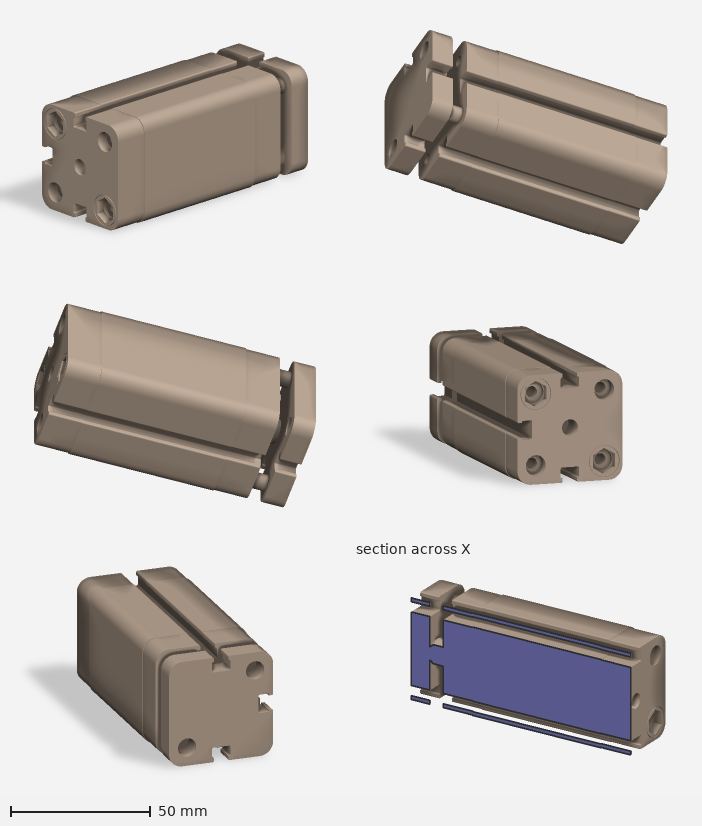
import cadquery as cq
import math


TOTAL_LENGTH = 93.0
PLATE_LENGTH = 8.0
GAP_LENGTH = 5.5
COVER_LENGTH = 12.7
BODY_LENGTH = TOTAL_LENGTH - PLATE_LENGTH - GAP_LENGTH
TUBE_LENGTH = BODY_LENGTH - 2 * COVER_LENGTH
PLATE_START = BODY_LENGTH + GAP_LENGTH

COVER_WIDTH = 39.8
COVER_CORNER_RADIUS = 5.1
TUBE_WIDTH = 40.1
TUBE_CORNER_RADIUS = 4.8

SLOT_OPENING = 5.5
SLOT_WIDTH = 7.0
SLOT_LIP = 1.6
SLOT_DEPTH = 5.55
SLOT_FILLET = 0.5
SLOT_MOUTH_RADIUS = 0.5
SLOT_ANGLES = (0, 90, 180)

ROD_DIAMETER = 10.0
ROD_TIP_DIAMETER = 8.5
ROD_TAPER_ANGLE = 30.0
ROD_FLAT_WIDTH = 8.0
ROD_FLAT_LENGTH = 3.6

PIN_DIAMETER = 6.0
PIN_OFFSET = 13.5
PIN_CORNERS = ((1, 1), (-1, -1))

SCREW_OFFSET = 13.0
SCREW_CORNERS = ((-1, 1), (1, -1))
SCREW_SEAT_DIAMETER = 11.7
SCREW_HEAD_DIAMETER = 11.1
SCREW_GROOVE_DEPTH = 0.5
HEX_ACROSS_FLATS = 8.3
HEX_DEPTH = 3.0
SOCKET_DIAMETER = 8.0
SOCKET_DEPTH = 4.5
SCREW_BORE_DIAMETER = 4.13
PLATE_HOLE_DIAMETER = 7.0

GUIDE_HOLE_DIAMETER = 7.5
GUIDE_HOLE_DEPTH = 4.5
GUIDE_BORE_DIAMETER = 4.13
GUIDE_BORE_DEPTH = 20.0
CENTRE_HOLE_DIAMETER = 6.0
CENTRE_HOLE_DEPTH = 10.0


def plane_at(y):
    """XZ workplane at the given Y whose normal points along +Y (local x = -X, local y = Z)."""
    return cq.Workplane(cq.Plane(origin=(0, y, 0), xDir=(-1, 0, 0), normal=(0, 1, 0)))


def corner_points(corners, offset):
    """Local points for corners given as signs of X and Z."""
    return [(-x * offset, z * offset) for x, z in corners]


def cylinders(corners, offset, diameter, start, end):
    """Equal cylinders along Y at the given corners."""
    points = corner_points(corners, offset)
    return plane_at(start).pushPoints(points).circle(diameter / 2).extrude(end - start)


def slot_cutter(width, start, length):
    """T-slot of the +Z side of a block of the given width."""
    top = width / 2
    lip_z = top - SLOT_LIP
    floor_z = top - SLOT_DEPTH
    mouth = SLOT_OPENING / 2
    cavity_height = SLOT_DEPTH - SLOT_LIP
    cavity = (
        plane_at(start)
        .center(0, (lip_z + floor_z) / 2)
        .rect(SLOT_WIDTH, cavity_height)
        .extrude(length)
        .edges("|Y")
        .fillet(SLOT_FILLET)
    )
    flare = mouth + SLOT_MOUTH_RADIUS
    shoulder_z = top - SLOT_MOUTH_RADIUS
    opening_bottom = floor_z + SLOT_FILLET
    opening = (
        plane_at(start)
        .moveTo(-flare, top)
        .radiusArc((-mouth, shoulder_z), SLOT_MOUTH_RADIUS)
        .lineTo(-mouth, opening_bottom)
        .lineTo(mouth, opening_bottom)
        .lineTo(mouth, shoulder_z)
        .radiusArc((flare, top), SLOT_MOUTH_RADIUS)
        .close()
        .extrude(length)
    )
    return cavity.union(opening)


def slotted_block(width, corner_radius, start, length):
    """Square block with rounded corners and the three T-slots."""
    block = plane_at(start).rect(width, width).extrude(length).edges("|Y").fillet(corner_radius)
    cutter = slot_cutter(width, start, length)
    for angle in SLOT_ANGLES:
        block = block.cut(cutter.rotate((0, 0, 0), (0, -1, 0), angle))
    return block


def piston_rod():
    """Rod across the gap, tapered towards the plate and flattened on both X sides."""
    taper_height = (ROD_DIAMETER - ROD_TIP_DIAMETER) / 2
    taper_length = taper_height / math.tan(math.radians(ROD_TAPER_ANGLE))
    rod = (
        plane_at(BODY_LENGTH)
        .circle(ROD_DIAMETER / 2)
        .extrude(GAP_LENGTH)
        .faces(">Y")
        .chamfer(taper_length, taper_height)
    )
    flat = ROD_FLAT_WIDTH / 2
    flat_height = ROD_DIAMETER / 2 - flat
    flat_end = PLATE_START - ROD_FLAT_LENGTH
    for side in (-1, 1):
        cutter = (
            cq.Workplane("XY")
            .moveTo(side * flat, PLATE_START)
            .lineTo(side * flat, flat_end)
            .lineTo(side * (flat + flat_height), flat_end - flat_height)
            .lineTo(side * (flat + flat_height), PLATE_START)
            .close()
            .extrude(ROD_DIAMETER / 2, both=True)
        )
        rod = rod.cut(cutter)
    return rod


def screw_recesses():
    """Groove around each screw head, hexagon socket, round socket and through bore."""
    groove = cylinders(SCREW_CORNERS, SCREW_OFFSET, SCREW_SEAT_DIAMETER, 0, SCREW_GROOVE_DEPTH)
    groove = groove.cut(cylinders(SCREW_CORNERS, SCREW_OFFSET, SCREW_HEAD_DIAMETER, 0, SCREW_GROOVE_DEPTH))
    hexagon = cq.Sketch().regularPolygon(HEX_ACROSS_FLATS / math.sqrt(3), 6, angle=0)
    points = corner_points(SCREW_CORNERS, SCREW_OFFSET)
    hexes = plane_at(0).pushPoints(points).placeSketch(hexagon).extrude(HEX_DEPTH)
    sockets = cylinders(SCREW_CORNERS, SCREW_OFFSET, SOCKET_DIAMETER, 0, SOCKET_DEPTH)
    bores = cylinders(SCREW_CORNERS, SCREW_OFFSET, SCREW_BORE_DIAMETER, 0, BODY_LENGTH)
    return groove.union(hexes).union(sockets).union(bores)


def end_face_holes():
    """Stepped blind holes on the pin diagonal and the blind centre hole."""
    guides = cylinders(PIN_CORNERS, SCREW_OFFSET, GUIDE_HOLE_DIAMETER, 0, GUIDE_HOLE_DEPTH)
    bores = cylinders(PIN_CORNERS, SCREW_OFFSET, GUIDE_BORE_DIAMETER, 0, GUIDE_BORE_DEPTH)
    centre = plane_at(0).circle(CENTRE_HOLE_DIAMETER / 2).extrude(CENTRE_HOLE_DEPTH)
    return guides.union(bores).union(centre)


end_cap = slotted_block(COVER_WIDTH, COVER_CORNER_RADIUS, 0, COVER_LENGTH)
tube = slotted_block(TUBE_WIDTH, TUBE_CORNER_RADIUS, COVER_LENGTH, TUBE_LENGTH)
front_cover = slotted_block(COVER_WIDTH, COVER_CORNER_RADIUS, COVER_LENGTH + TUBE_LENGTH, COVER_LENGTH)
plate = slotted_block(COVER_WIDTH, COVER_CORNER_RADIUS, PLATE_START, PLATE_LENGTH)
plate_holes = cylinders(SCREW_CORNERS, SCREW_OFFSET, PLATE_HOLE_DIAMETER, PLATE_START, TOTAL_LENGTH)

body = end_cap.union(tube).union(front_cover).cut(screw_recesses()).cut(end_face_holes())
pins = cylinders(PIN_CORNERS, PIN_OFFSET, PIN_DIAMETER, BODY_LENGTH, PLATE_START)

result = body.union(piston_rod()).union(pins).union(plate.cut(plate_holes))